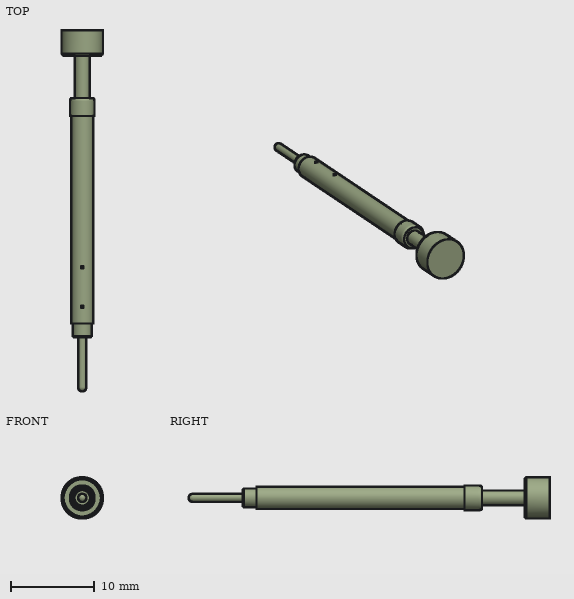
import cadquery as cq

overall_length = 43.3

head_dia = 5.0
plunger_dia = 1.8
collar_dia = 3.0
barrel_dia = 2.7
nose_dia = 2.3
pin_dia = 1.0

head_length = 3.07
plunger_length = 5.05
collar_length = 2.12
barrel_length = 24.9
nose_length = 1.7
pin_length = overall_length - (head_length + plunger_length + collar_length + barrel_length + nose_length)

head_chamfer = 0.25
nose_chamfer = 0.2
collar_round_length = 0.4
collar_round_depth = 0.17

dimple_dia = 0.3
dimple_depth = 0.15
dimple_pitch = 4.7
dimple_end_distance = 2.05

head_front = -head_length
collar_back = head_front - plunger_length
collar_front = collar_back - collar_length
barrel_front = collar_front - barrel_length
nose_front = barrel_front - nose_length


def cylinder(diameter, back, length):
    """Solid cylinder on the Y axis, running from its back face toward -Y."""
    plane = cq.Workplane("XZ", origin=(0, back, 0))
    return plane.circle(diameter / 2).extrude(length)


def make_head():
    head = cylinder(head_dia, 0, head_length)
    return head.faces("<Y").chamfer(head_chamfer)


def make_collar():
    """Collar with a lead-in round, tangent to its side, at the end facing the head."""
    radius = collar_dia / 2
    profile = (
        cq.Workplane("XY")
        .moveTo(0, collar_back)
        .lineTo(0, collar_front)
        .lineTo(radius, collar_front)
        .lineTo(radius, collar_back - collar_round_length)
        .tangentArcPoint((radius - collar_round_depth, collar_back), relative=False)
        .close()
    )
    return profile.revolve(360, (0, 0, 0), (0, 1, 0))


def make_barrel():
    barrel = cylinder(barrel_dia, collar_front, barrel_length)
    first_dimple = barrel_front + dimple_end_distance
    dimple_floor = barrel_dia / 2 - dimple_depth
    for dimple_y in (first_dimple, first_dimple + dimple_pitch):
        dimple = (
            cq.Workplane("XY", origin=(0, dimple_y, dimple_floor))
            .circle(dimple_dia / 2)
            .extrude(2 * dimple_depth)
        )
        barrel = barrel.cut(dimple)
    return barrel


def make_nose():
    nose = cylinder(nose_dia, barrel_front, nose_length)
    return nose.faces("<Y").chamfer(nose_chamfer)


def make_pin():
    """Contact pin ending in a hemisphere."""
    tip_radius = pin_dia / 2
    shank_length = pin_length - tip_radius
    shank = cylinder(pin_dia, nose_front, shank_length)
    tip = cq.Workplane("XY", origin=(0, nose_front - shank_length, 0)).sphere(tip_radius)
    return shank.union(tip)


plunger = cylinder(plunger_dia, head_front, plunger_length)

result = (
    make_head()
    .union(plunger)
    .union(make_collar())
    .union(make_barrel())
    .union(make_nose())
    .union(make_pin())
)